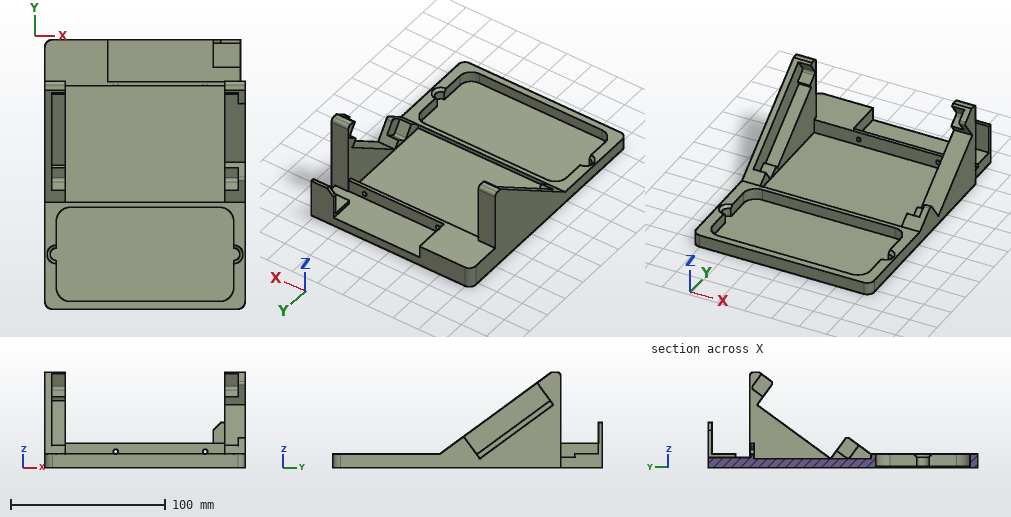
import cadquery as cq
import math

WIDTH = 130.0
LENGTH = 174.81
CORNER_RADIUS = 5.0
FRONT_HEIGHT = 9.0
REAR_HEIGHT = 16.0

TOTAL_HEIGHT = 62.1
SUPPORT_WIDTH = 13.4
SLOPE_START_Y = 69.4
SLOPE_ANGLE = 36.2
SLOPE_END_Y = SLOPE_START_Y + (TOTAL_HEIGHT - FRONT_HEIGHT) / math.tan(math.radians(SLOPE_ANGLE))
SUPPORT_BACK_Y = 147.9
SUPPORT_TOP_RADIUS = 2.5

FLOOR_HEIGHT = 6.0
REAR_WALL_FRONT_Y = 145.0
REAR_WALL_BACK_Y = 147.5

RECESS_LEFT_X = 41.0
RECESS_FLOOR_HEIGHT = 6.8
REAR_RIGHT_X = 127.0

TAB_LEFT_X = 109.2
TAB_THICKNESS = 2.5
TAB_TOP_HEIGHT = 29.4
TAB_CHAMFER = 5.0
FOOT_FRONT_Y = 157.0
FOOT_TOP_HEIGHT = 9.0

HOLE_DIAMETER = 3.0
HOLE_HEIGHT = 10.5
HOLE_X_POSITIONS = (46.0, 104.0)

CRADLE_SKIN = 4.4
CRADLE_START = 9.6
CRADLE_LENGTH = 78.2
CRADLE_DEPTH = 11.4
CRADLE_CORNER_RADIUS = 2.0
RELIEF_LENGTH = 59.0
RELIEF_START = CRADLE_START + (CRADLE_LENGTH - RELIEF_LENGTH) / 2
RELIEF_RANGE = (RELIEF_START, RELIEF_START + RELIEF_LENGTH)
LEFT_RELIEF_DEPTH = 14.4
RIGHT_RELIEF_DEPTH = 17.8
RELIEF_LIP_RADIUS = 1.8

TRAY_LENGTH = 115.0
TRAY_WIDTH = 61.0
TRAY_FRONT_Y = 5.1
TRAY_CORNER_RADIUS = 9.0
TRAY_FLOOR_HEIGHT = 1.0
NOTCH_RADIUS = 4.0
NOTCH_CHAMFER = 2.0


def box(x_range, y_range, z_range):
    """Box given by its limits along each axis."""
    return cq.Workplane("XY").box(
        x_range[1] - x_range[0], y_range[1] - y_range[0], z_range[1] - z_range[0], centered=False
    ).translate((x_range[0], y_range[0], z_range[0]))


def on_slope(body):
    """Move a body drawn below the XY plane into the slope, its Y axis running up the slope."""
    return body.rotate((0, 0, 0), (1, 0, 0), SLOPE_ANGLE).translate((0, SLOPE_START_Y, FRONT_HEIGHT))


def make_base():
    """Flat plate with three rounded corners, stepped up towards the rear."""
    plate = box((0, WIDTH), (0, LENGTH), (0, REAR_HEIGHT))
    plate = plate.edges("|Z").fillet(CORNER_RADIUS)
    square_corner = box(
        (WIDTH - CORNER_RADIUS, WIDTH), (LENGTH - CORNER_RADIUS, LENGTH), (0, REAR_HEIGHT)
    )
    front_step = box((0, WIDTH), (0, SUPPORT_BACK_Y), (FRONT_HEIGHT, REAR_HEIGHT))
    rear_right_strip = box((REAR_RIGHT_X, WIDTH), (SUPPORT_BACK_Y, LENGTH), (0, REAR_HEIGHT))
    rear_wall = box((0, WIDTH), (REAR_WALL_FRONT_Y, SUPPORT_BACK_Y), (0, REAR_HEIGHT))
    return plate.union(square_corner).cut(front_step).cut(rear_right_strip).union(rear_wall)


def make_support(left_x):
    """Wedge-shaped side support with a rounded top back edge."""
    return (
        cq.Workplane("YZ")
        .moveTo(SLOPE_START_Y, 0)
        .lineTo(SLOPE_START_Y, FRONT_HEIGHT)
        .lineTo(SLOPE_END_Y, TOTAL_HEIGHT)
        .lineTo(SUPPORT_BACK_Y, TOTAL_HEIGHT)
        .lineTo(SUPPORT_BACK_Y, 0)
        .close()
        .extrude(SUPPORT_WIDTH)
        .edges(">Y and >Z")
        .fillet(SUPPORT_TOP_RADIUS)
        .translate((left_x, 0, 0))
    )


def make_sunken_floor():
    """Space removed between the supports, down to the sunken floor."""
    return box(
        (SUPPORT_WIDTH, WIDTH - SUPPORT_WIDTH),
        (SLOPE_START_Y, REAR_WALL_FRONT_Y),
        (FLOOR_HEIGHT, REAR_HEIGHT),
    )


def make_rear_recess():
    """Space removed behind the rear wall, open to the back and the right."""
    return box(
        (RECESS_LEFT_X, REAR_RIGHT_X), (REAR_WALL_BACK_Y, LENGTH), (RECESS_FLOOR_HEIGHT, REAR_HEIGHT)
    )


def make_tab():
    """Upright tab with one clipped top corner, standing on a thin foot."""
    foot = box((TAB_LEFT_X, REAR_RIGHT_X), (FOOT_FRONT_Y, LENGTH), (0, FOOT_TOP_HEIGHT))
    upright = (
        box((TAB_LEFT_X, REAR_RIGHT_X), (LENGTH - TAB_THICKNESS, LENGTH), (0, TAB_TOP_HEIGHT))
        .edges("<X and >Z")
        .chamfer(TAB_CHAMFER)
    )
    return foot.union(upright)


def make_cable_holes():
    """Round holes running front to back through the rear wall."""
    return (
        cq.Workplane("XZ", origin=(0, REAR_WALL_FRONT_Y, 0))
        .pushPoints([(x, HOLE_HEIGHT) for x in HOLE_X_POSITIONS])
        .circle(HOLE_DIAMETER / 2)
        .extrude(REAR_WALL_FRONT_Y - REAR_WALL_BACK_Y)
    )


def make_cradle_half(x_range):
    """Tilted pocket in the inner face of one support, rounded along its bottom ends."""
    pocket = box(x_range, (CRADLE_START, CRADLE_START + CRADLE_LENGTH), (-CRADLE_DEPTH, 0))
    return on_slope(pocket.faces("<Z").edges("|X").fillet(CRADLE_CORNER_RADIUS))


def make_left_relief():
    """Deeper middle stretch of the cradle in the left support."""
    return on_slope(
        box((CRADLE_SKIN, SUPPORT_WIDTH), RELIEF_RANGE, (-LEFT_RELIEF_DEPTH, 0))
    )


def make_right_relief():
    """Middle opening through the right support, with rounded lips at the slope."""
    start, end = RELIEF_RANGE
    lip = RELIEF_LIP_RADIUS
    outline = (
        cq.Workplane("YZ")
        .moveTo(start - lip, 0)
        .radiusArc((start, -lip), lip)
        .lineTo(start, -RIGHT_RELIEF_DEPTH)
        .lineTo(end, -RIGHT_RELIEF_DEPTH)
        .lineTo(end, -lip)
        .radiusArc((end + lip, 0), lip)
        .close()
    )
    return on_slope(outline.extrude(SUPPORT_WIDTH).translate((WIDTH - SUPPORT_WIDTH, 0, 0)))


def make_tray():
    """Rounded tray with a chamfered finger notch at the middle of each end."""
    tray_left_x = (WIDTH - TRAY_LENGTH) / 2
    tray_right_x = WIDTH - tray_left_x
    tray = box(
        (tray_left_x, tray_right_x),
        (TRAY_FRONT_Y, TRAY_FRONT_Y + TRAY_WIDTH),
        (TRAY_FLOOR_HEIGHT, FRONT_HEIGHT),
    ).edges("|Z").fillet(TRAY_CORNER_RADIUS)
    notch_profile = (
        cq.Workplane("XZ")
        .moveTo(0, TRAY_FLOOR_HEIGHT)
        .lineTo(NOTCH_RADIUS, TRAY_FLOOR_HEIGHT)
        .lineTo(NOTCH_RADIUS, FRONT_HEIGHT - NOTCH_CHAMFER)
        .lineTo(NOTCH_RADIUS + NOTCH_CHAMFER, FRONT_HEIGHT)
        .lineTo(0, FRONT_HEIGHT)
        .close()
    )
    notch = notch_profile.revolve(360, (0, 0, 0), (0, 1, 0))
    for x in (tray_left_x, tray_right_x):
        tray = tray.union(notch.translate((x, TRAY_FRONT_Y + TRAY_WIDTH / 2, 0)))
    return tray


result = make_base().cut(make_rear_recess())
for support_x in (0, WIDTH - SUPPORT_WIDTH):
    result = result.union(make_support(support_x))
for space in (
    make_sunken_floor(),
    make_cable_holes(),
    make_cradle_half((CRADLE_SKIN, SUPPORT_WIDTH)),
    make_cradle_half((WIDTH - SUPPORT_WIDTH, WIDTH - CRADLE_SKIN)),
    make_left_relief(),
    make_right_relief(),
    make_tray(),
):
    result = result.cut(space)
result = result.union(make_tab())